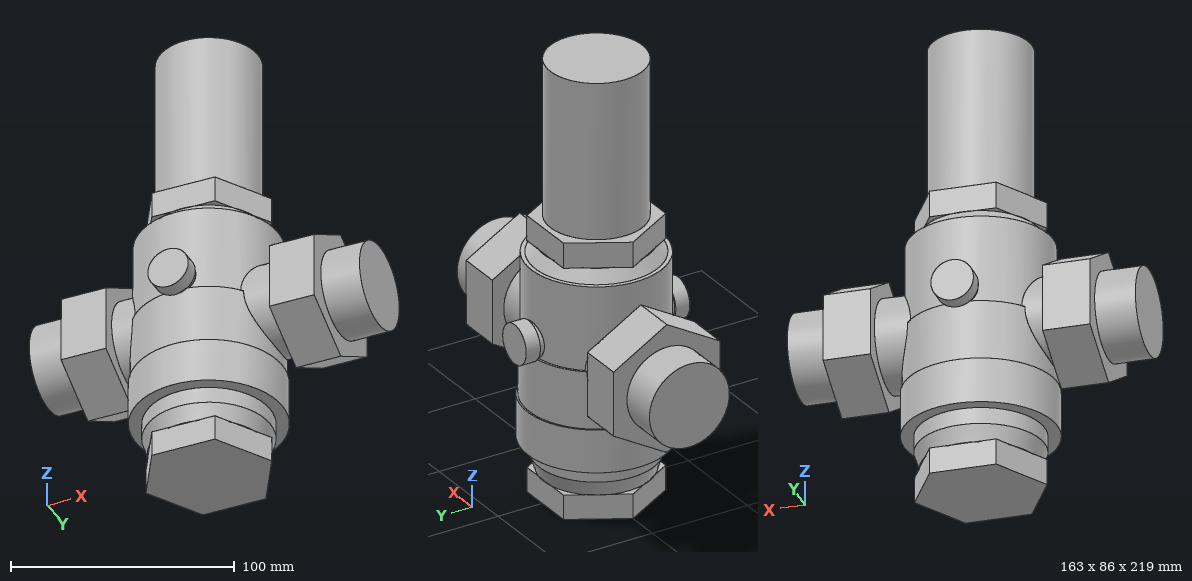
import cadquery as cq
import math

bottom_nut_top = 12.5
bottom_cone_top = 20.4
bottom_neck_top = 28.3
collar_top = 50.0
pipe_axis_height = 78.8
body_top = 121.3
top_cone_top = 127.2
top_nut_top = 140.0
total_height = 219.0

body_nut_flats = 53.9
cone_end_diameter = 55.0
bottom_neck_diameter = 60.0
collar_diameter = 72.0
lower_body_diameter = 70.3
upper_body_diameter = 68.0
top_cone_base_diameter = 64.0
spindle_diameter = 48.2

pipe_length = 163.0
pipe_offset = 2.6
pipe_diameter = 42.0
pipe_neck_diameter = 44.0
pipe_nut_flats = 56.0
pipe_nut_width = 22.1
pipe_end_length = 19.0

port_span = 86.0
port_height = 86.3
port_diameter = 20.0
port_neck_diameter = 18.0
port_head_length = 7.5


def hexagon_circumdiameter(flats):
    return flats / math.cos(math.pi / 6)


def vertical_body():
    """Revolve the stepped round body between the two nuts."""
    profile = [
        (0, bottom_nut_top),
        (cone_end_diameter / 2, bottom_nut_top),
        (bottom_neck_diameter / 2, bottom_cone_top),
        (bottom_neck_diameter / 2, bottom_neck_top),
        (collar_diameter / 2, bottom_neck_top),
        (collar_diameter / 2, collar_top),
        (lower_body_diameter / 2, collar_top),
        (lower_body_diameter / 2, pipe_axis_height),
        (upper_body_diameter / 2, pipe_axis_height),
        (upper_body_diameter / 2, body_top),
        (top_cone_base_diameter / 2, body_top),
        (cone_end_diameter / 2, top_cone_top),
        (0, top_cone_top),
    ]
    return cq.Workplane("XZ").polyline(profile).close().revolve(360, (0, 0), (0, 1))


def body_nut(bottom, top):
    """Hexagon nut on the body axis with corners on the X axis."""
    circumdiameter = hexagon_circumdiameter(body_nut_flats)
    return cq.Workplane("XY", origin=(0, 0, bottom)).polygon(6, circumdiameter).extrude(top - bottom)


def spindle_housing():
    height = total_height - top_nut_top
    return cq.Workplane("XY", origin=(0, 0, top_nut_top)).circle(spindle_diameter / 2).extrude(height)


def pipe_plane(start):
    """Plane facing +X on the pipe axis, with its local x axis pointing up."""
    return cq.Workplane(cq.Plane((start, 0, pipe_axis_height), xDir=(0, 0, 1), normal=(1, 0, 0)))


def pipe_run():
    """Pipe with a wider neck between two union nuts."""
    start = pipe_offset - pipe_length / 2
    neck_start = start + pipe_end_length + pipe_nut_width
    neck_length = pipe_length - 2 * (pipe_end_length + pipe_nut_width)
    run = pipe_plane(start).circle(pipe_diameter / 2).extrude(pipe_length)
    run = run.union(pipe_plane(neck_start).circle(pipe_neck_diameter / 2).extrude(neck_length))
    for nut_start in (start + pipe_end_length, neck_start + neck_length):
        nut = pipe_plane(nut_start).polygon(6, hexagon_circumdiameter(pipe_nut_flats))
        run = run.union(nut.extrude(pipe_nut_width))
    return run


def side_ports():
    """Narrow cross stem carrying a round head at each end."""
    plane = cq.Workplane("XZ", origin=(0, 0, port_height))
    ports = plane.circle(port_neck_diameter / 2).extrude(port_span / 2, both=True)
    for direction in (-1, 1):
        head = plane.workplane(offset=direction * port_span / 2).circle(port_diameter / 2)
        ports = ports.union(head.extrude(-direction * port_head_length))
    return ports


result = (
    vertical_body()
    .union(body_nut(0, bottom_nut_top))
    .union(body_nut(top_cone_top, top_nut_top))
    .union(spindle_housing())
    .union(pipe_run())
    .union(side_ports())
)